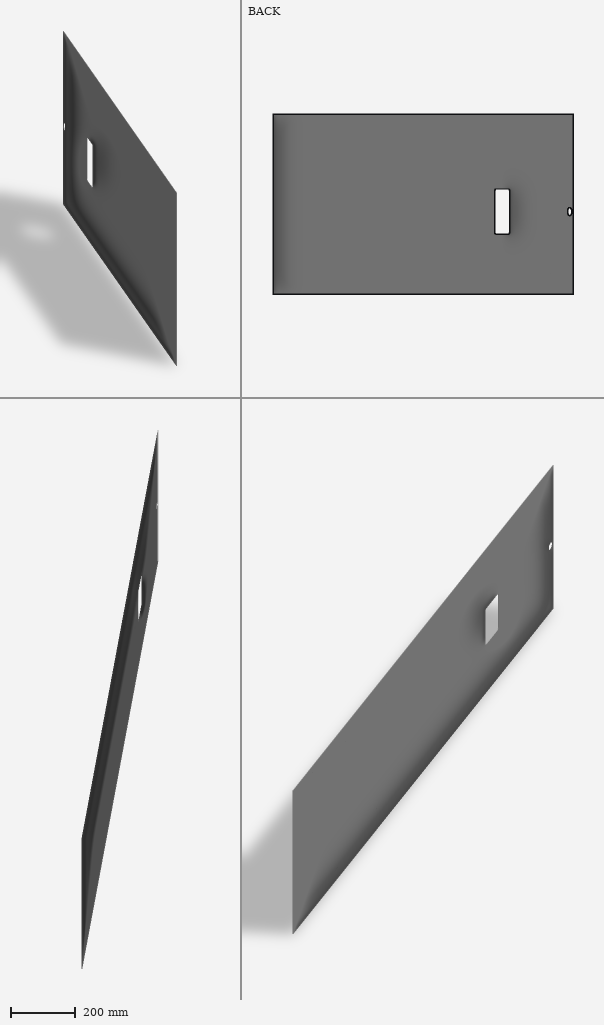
import cadquery as cq
import math

span_y = 1605.0
height = 557.0
thickness = 2.0
turn_angle = -60.0

turn = math.radians(abs(turn_angle))
length = (span_y - thickness * math.cos(turn)) / math.sin(turn)

cutout_z = -22.0
hole_diameter = 25.0
hole_from_end = 21.0
window_from_end = 392.0
window_width = 93.0
window_height = 140.0
window_corner_radius = 8.0

panel_end = -length / 2
hole_x = panel_end + hole_from_end
window_x = panel_end + window_from_end + window_width / 2


def through_cutter(sketch):
    """Extrude a profile in XZ right through the panel thickness."""
    return sketch.extrude(thickness, both=True)


panel = cq.Workplane("XY").box(length, thickness, height)

hole = through_cutter(
    cq.Workplane("XZ").center(hole_x, cutout_z).circle(hole_diameter / 2)
)

window = through_cutter(
    cq.Workplane("XZ").center(window_x, cutout_z).rect(window_width, window_height)
).edges("|Y").fillet(window_corner_radius)

result = panel.cut(hole).cut(window).rotate((0, 0, 0), (0, 0, 1), turn_angle)